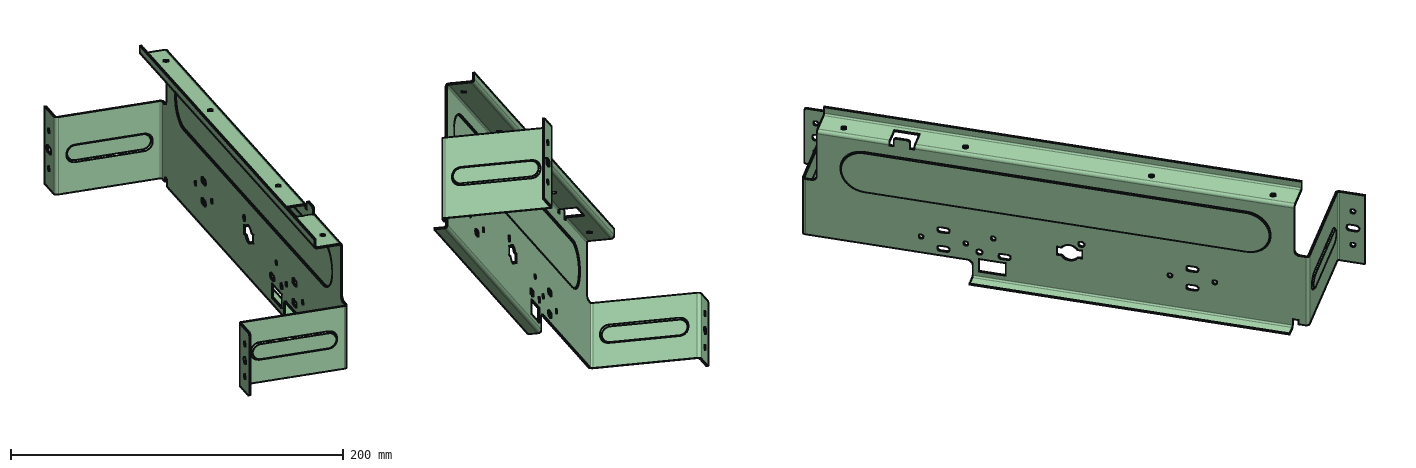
import cadquery as cq
LENGTH = 349.0
DEPTH = 77.0
HEIGHT = 97.5
SHEET = 1.0
BEND_RADIUS = 1.0
BEND_OUTER = BEND_RADIUS + SHEET
FOLD_OVERLAP = 1.7

LEG_HALF_SPAN = 157.7
SHELF_HALF = 148.5
PLATE_BACK = 69.8
PLATE_FRONT = PLATE_BACK - SHEET

LEG_TOP = 54.5
LEFT_LEG_BOTTOM = 3.0
RIGHT_LEG_BOTTOM = 13.0
CORNER_RADIUS = 3.5
FOOT_CORNER_RADIUS = 1.7

SHELF_TOP = 92.0
LIP_FRONT = 51.5
FLANGE_LEFT = -147.5
FLANGE_RIGHT = 51.5
NOTCH_WIDTH = 3.5
NOTCH_TOP = 6.3

FOOT_HOLE = 3.2
FOOT_CENTRE_HOLE = 4.5
SHELF_HOLE = 3.2
PLATE_HOLE = 3.0
LARGE_PLATE_HOLE = 4.0
SLOT_LENGTH = 7.7
SLOT_WIDTH = 4.0
FOOT_SLOT_LENGTH = 8.0
FOOT_SLOT_WIDTH = 4.5

PLATE_BEAD_DEPTH = 0.7
LEG_BEAD_DEPTH = SHEET
BEAD_WALL_ANGLE = 45
PLATE_BEAD_LENGTH = 268.0
PLATE_BEAD_WIDTH = 30.5
PLATE_BEAD_Z = 66.5
LEG_BEAD_LENGTH = 56.0
LEG_BEAD_WIDTH = 12.0
LEG_BEAD_Y = 35.2

WINDOW_LEFT = 88.0
WINDOW_RIGHT = 103.5
WINDOW_FRONT = 57.2
RELIEF_WIDTH = 2.8
RELIEF_BOTTOM = 89.5
TAB_TOP = 95.3
TAB_CORNER_RADIUS = 1.7


def box(x_range, y_range, z_range):
    """Box between the given limits."""
    sizes = [high - low for low, high in (x_range, y_range, z_range)]
    corner = (x_range[0], y_range[0], z_range[0])
    return cq.Workplane("XY").box(*sizes, centered=False).translate(corner)


def sheet_side(points, side):
    """One face line of a folded sheet: end points, and a (start, end) pair for each bend arc."""
    steps = []
    for (x0, y0), (x1, y1) in zip(points, points[1:]):
        run = abs(x1 - x0) + abs(y1 - y0)
        steps.append(((x1 - x0) / run, (y1 - y0) / run))
    shift = side * SHEET / 2

    (dx, dy), (x, y) = steps[0], points[0]
    start = (x - shift * dy, y + shift * dx)
    arcs = []
    for (ax, ay), (bx, by), (x, y) in zip(steps, steps[1:], points[1:-1]):
        turns_left = ax * by - ay * bx > 0
        radius = BEND_RADIUS if turns_left == (side > 0) else BEND_OUTER
        x -= shift * (ay + by)
        y += shift * (ax + bx)
        arcs.append(((x - radius * ax, y - radius * ay), (x + radius * bx, y + radius * by)))
    (dx, dy), (x, y) = steps[-1], points[-1]
    end = (x - shift * dy, y + shift * dx)
    return start, arcs, end


def folded_sheet(plane, points, length):
    """Extrude a sheet whose middle line follows points, with right-angle bends between them."""
    start, arcs, end = sheet_side(points, 1)
    profile = cq.Workplane(plane).moveTo(*start)
    for arc_start, arc_end in arcs:
        profile = profile.lineTo(*arc_start).tangentArcPoint(arc_end, relative=False)
    profile = profile.lineTo(*end)
    start, arcs, end = sheet_side(points, -1)
    profile = profile.lineTo(*end)
    for arc_end, arc_start in reversed(arcs):
        profile = profile.lineTo(*arc_start).tangentArcPoint(arc_end, relative=False)
    return profile.lineTo(*start).close().extrude(length)


def through_y(points):
    """Workplane for cutters along Y, with the given (x, z) points selected."""
    return cq.Workplane("XZ", origin=(0, DEPTH, 0)).pushPoints(points)


def add_bead(body, inner_point, outward, along, length, width, depth):
    """Press a round-ended bead outward from the sheet face holding inner_point."""
    inner = cq.Plane(origin=inner_point, xDir=along, normal=outward)
    outer = cq.Plane(origin=inner.toWorldCoords((0, 0, SHEET)), xDir=along, normal=outward)

    def pressing(plane):
        return cq.Workplane(plane).slot2D(length, width).extrude(depth, taper=BEAD_WALL_ANGLE)

    return body.union(pressing(outer)).cut(pressing(inner))


plate_mid = PLATE_BACK - SHEET / 2
leg_mid = LEG_HALF_SPAN - SHEET / 2
fold_top = SHELF_TOP - BEND_OUTER
fold_bottom = BEND_OUTER

plan = [
    (-LENGTH / 2, SHEET / 2),
    (-leg_mid, SHEET / 2),
    (-leg_mid, plate_mid),
    (leg_mid, plate_mid),
    (leg_mid, SHEET / 2),
    (LENGTH / 2, SHEET / 2),
]
folded_body = folded_sheet("XY", plan, HEIGHT)

upper_outline = box((-SHELF_HALF, SHELF_HALF), (0, DEPTH), (LEG_TOP, fold_top))
left_outline = box((-LENGTH / 2, FLANGE_RIGHT), (0, DEPTH), (LEFT_LEG_BOTTOM, LEG_TOP))
right_outline = box((FLANGE_RIGHT, LENGTH / 2), (0, DEPTH), (RIGHT_LEG_BOTTOM, LEG_TOP))
right_outline = right_outline.edges("|Y and >X").fillet(FOOT_CORNER_RADIUS)
lower_outline = box((FLANGE_LEFT, FLANGE_RIGHT), (0, DEPTH), (fold_bottom, LEG_TOP))
notch = box((FLANGE_LEFT - NOTCH_WIDTH, FLANGE_LEFT), (0, DEPTH), (0, NOTCH_TOP))

outline = upper_outline.union(left_outline).union(right_outline).union(lower_outline).clean()
for corner_x, corner_z in (
    (-SHELF_HALF, LEG_TOP),
    (SHELF_HALF, LEG_TOP),
    (FLANGE_RIGHT, RIGHT_LEG_BOTTOM),
):
    corner = cq.selectors.NearestToPointSelector((corner_x, DEPTH / 2, corner_z))
    outline = outline.edges("|Y").edges(corner).fillet(CORNER_RADIUS)
bracket = folded_body.intersect(outline.cut(notch))

shelf_mid = SHELF_TOP - SHEET / 2
lip_mid = LIP_FRONT + SHEET / 2
shelf_profile = [
    (plate_mid, fold_top - FOLD_OVERLAP),
    (plate_mid, shelf_mid),
    (lip_mid, shelf_mid),
    (lip_mid, HEIGHT),
]
shelf = folded_sheet("YZ", shelf_profile, 2 * SHELF_HALF).translate((-SHELF_HALF, 0, 0))
flange_profile = [
    (plate_mid, fold_bottom + FOLD_OVERLAP),
    (plate_mid, SHEET / 2),
    (DEPTH, SHEET / 2),
]
flange = folded_sheet("YZ", flange_profile, FLANGE_RIGHT - FLANGE_LEFT).translate((FLANGE_LEFT, 0, 0))
bracket = bracket.union(shelf).union(flange)

window_x = (WINDOW_LEFT, WINDOW_RIGHT)
tab_x = (WINDOW_LEFT + RELIEF_WIDTH, WINDOW_RIGHT - RELIEF_WIDTH)
bracket = bracket.cut(box(window_x, (WINDOW_FRONT, DEPTH), (RELIEF_BOTTOM, SHELF_TOP)))
tab = box(tab_x, (PLATE_FRONT, PLATE_BACK), (RELIEF_BOTTOM, TAB_TOP))
bracket = bracket.union(tab.edges("|Y and >Z").fillet(TAB_CORNER_RADIUS))

left_leg_z = (LEG_TOP + LEFT_LEG_BOTTOM) / 2
right_leg_z = (LEG_TOP + RIGHT_LEG_BOTTOM) / 2
leg_inner = LEG_HALF_SPAN - SHEET
bracket = add_bead(
    bracket, (0, PLATE_FRONT, PLATE_BEAD_Z), (0, 1, 0), (1, 0, 0),
    PLATE_BEAD_LENGTH, PLATE_BEAD_WIDTH, PLATE_BEAD_DEPTH,
)
for side, leg_z in ((-1, left_leg_z), (1, right_leg_z)):
    bracket = add_bead(
        bracket, (side * leg_inner, LEG_BEAD_Y, leg_z), (side, 0, 0), (0, 1, 0),
        LEG_BEAD_LENGTH, LEG_BEAD_WIDTH, LEG_BEAD_DEPTH,
    )

FOOT_HOLE_X = 167.0
LEFT_FOOT_PITCH = 12.5
RIGHT_FOOT_PITCH = 10.8
foot_holes = []
for side in (-1, 1):
    foot_holes.append((-FOOT_HOLE_X, left_leg_z + side * LEFT_FOOT_PITCH))
    foot_holes.append((FOOT_HOLE_X, right_leg_z + side * RIGHT_FOOT_PITCH))
bracket = bracket.cut(through_y(foot_holes).circle(FOOT_HOLE / 2).extrude(DEPTH))
foot_slot = through_y([(-FOOT_HOLE_X, left_leg_z)]).slot2D(FOOT_SLOT_LENGTH, FOOT_SLOT_WIDTH)
bracket = bracket.cut(foot_slot.extrude(DEPTH))
foot_centre_hole = through_y([(FOOT_HOLE_X, right_leg_z)]).circle(FOOT_CENTRE_HOLE / 2)
bracket = bracket.cut(foot_centre_hole.extrude(DEPTH))

GROUP_XS = (-85.0, 69.8)
GROUP_HOLE_Z = 24.8
GROUP_SLOT_Z = 25.0
GROUP_HOLE_OFFSET = 14.0
GROUP_SLOT_OFFSET = 7.0
group_holes = []
group_slots = []
for group_x in GROUP_XS:
    for side in (-1, 1):
        group_holes.append((group_x + side * GROUP_HOLE_OFFSET, GROUP_HOLE_Z))
        group_slots.append((group_x, GROUP_SLOT_Z + side * GROUP_SLOT_OFFSET))

SINGLE_HOLE = (38.7, 31.8)
SINGLE_SLOT = (31.8, 19.2)
LARGE_HOLES = [(-16.0, 37.7), (47.5, 20.0)]
plate_holes = through_y(group_holes + [SINGLE_HOLE]).circle(PLATE_HOLE / 2)
plate_slots = through_y(group_slots + [SINGLE_SLOT]).slot2D(SLOT_LENGTH, SLOT_WIDTH)
large_holes = through_y(LARGE_HOLES).circle(LARGE_PLATE_HOLE / 2)
for cutter in (plate_holes, plate_slots, large_holes):
    bracket = bracket.cut(cutter.extrude(DEPTH))

OPENING = (-8.7, 30.0)
OPENING_DIAMETER = 11.5
EARS_LENGTH = 15.7
EARS_WIDTH = 6.0
bracket = bracket.cut(through_y([OPENING]).circle(OPENING_DIAMETER / 2).extrude(DEPTH))
bracket = bracket.cut(through_y([OPENING]).rect(EARS_LENGTH, EARS_WIDTH).extrude(DEPTH))

PLATE_WINDOW_X = (31.0, 47.8)
PLATE_WINDOW_Z = (5.2, 14.5)
bracket = bracket.cut(box(PLATE_WINDOW_X, (0, DEPTH), PLATE_WINDOW_Z))

SHELF_HOLE_Y = 62.8
SHELF_HOLE_OFFSETS = (58.0, 133.5)
shelf_holes = []
for offset in SHELF_HOLE_OFFSETS:
    shelf_holes.append((-offset, SHELF_HOLE_Y))
    shelf_holes.append((offset, SHELF_HOLE_Y))
shelf_cutter = cq.Workplane("XY", origin=(0, 0, fold_top)).pushPoints(shelf_holes)
bracket = bracket.cut(shelf_cutter.circle(SHELF_HOLE / 2).extrude(HEIGHT - fold_top))

result = bracket